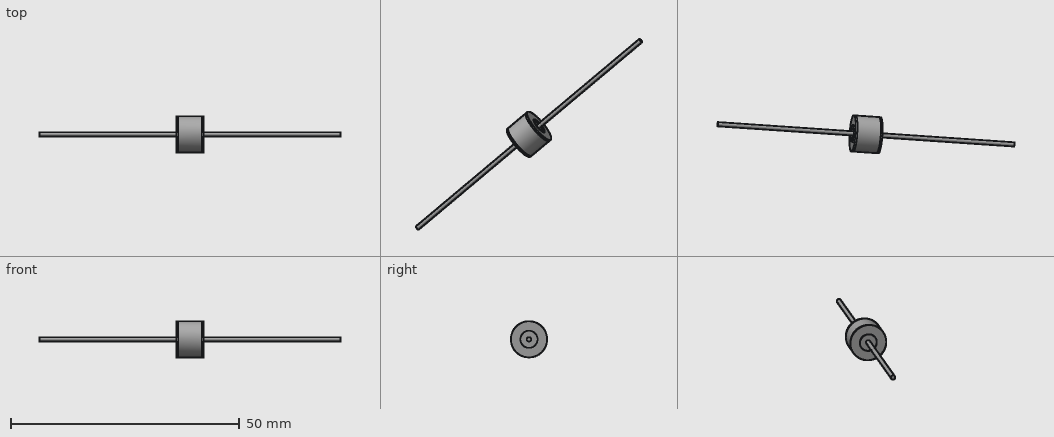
import cadquery as cq

overall_length = 66.0
body_diameter = 8.0
body_length = 6.0
cap_thickness = 0.42
lead_diameter = 1.0
recess_diameter = 3.75
recess_depth = 0.4

body_end = body_length / 2
cap_seat = body_end - cap_thickness
recess_floor = body_end - recess_depth
lead_tip = overall_length / 2


def x_cylinder(start_x, end_x, diameter):
    """Cylinder on the X axis between two X positions."""
    return cq.Workplane("YZ", origin=(start_x, 0, 0)).circle(diameter / 2).extrude(end_x - start_x)


def make_insulator():
    """Plain cylinder between the two end caps."""
    return x_cylinder(-cap_seat, cap_seat, body_diameter)


def make_electrode(side):
    """End cap with a wire lead standing on its recess floor; side is -1 or 1."""
    cap = x_cylinder(side * cap_seat, side * body_end, body_diameter)
    recess = x_cylinder(side * recess_floor, side * body_end, recess_diameter)
    lead = x_cylinder(side * recess_floor, side * lead_tip, lead_diameter)
    return cap.cut(recess).union(lead)


insulator = make_insulator()
electrodes = [make_electrode(side) for side in (-1, 1)]

result = cq.Compound.makeCompound([insulator.val(), *[electrode.val() for electrode in electrodes]])